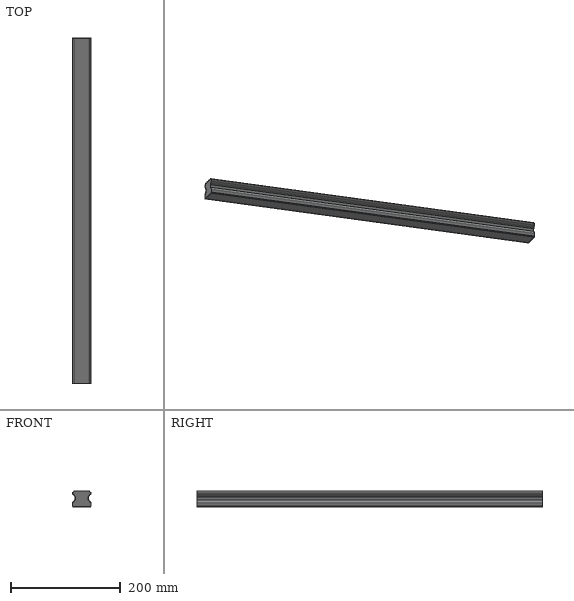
import cadquery as cq

rail_width = 34.0
rail_length = 630.0
rail_height = 29.0
half_width = rail_width / 2

top_half_width = 13.7
head_side_top = 25.6
head_side_bottom = 23.3
top_rim_radius = 0.9
head_rim_radius = 0.8

raceway_sag = 0.4
lower_raceway_half_width = 13.6
lower_raceway_bottom = 20.0

waist_half_width = 12.2
waist_top = 17.8
waist_bottom = 12.8

shoulder_bottom = 7.2
shoulder_radius = 1.5
bottom_chamfer = 1.5


def raceway_middle(start, end):
    """Middle point of a concave arc that runs upwards from start to end."""
    chord_x = end[0] - start[0]
    chord_z = end[1] - start[1]
    chord = (chord_x**2 + chord_z**2) ** 0.5
    return (
        (start[0] + end[0]) / 2 - raceway_sag * chord_z / chord,
        (start[1] + end[1]) / 2 + raceway_sag * chord_x / chord,
    )


def half_section():
    """Right half of the cross-section with sharp rims, closed along the centre plane."""
    lower_start = (lower_raceway_half_width, lower_raceway_bottom)
    lower_end = (half_width, head_side_bottom)
    upper_start = (half_width, head_side_top)
    upper_end = (top_half_width, rail_height)
    return (
        cq.Workplane("XZ")
        .moveTo(0, 0)
        .lineTo(half_width - bottom_chamfer, 0)
        .lineTo(half_width, bottom_chamfer)
        .lineTo(half_width, shoulder_bottom)
        .lineTo(waist_half_width, waist_bottom)
        .lineTo(waist_half_width, waist_top)
        .lineTo(*lower_start)
        .threePointArc(raceway_middle(lower_start, lower_end), lower_end)
        .lineTo(*upper_start)
        .threePointArc(raceway_middle(upper_start, upper_end), upper_end)
        .lineTo(0, rail_height)
        .close()
    )


def round_rim(body, x, z, radius):
    """Round the lengthwise edge that passes through (x, z)."""
    rim = cq.selectors.NearestToPointSelector((x, 0, z))
    return body.edges("|Y").edges(rim).fillet(radius)


def rail():
    """Half rail extruded along Y, centred on the length, rounded and mirrored to full width."""
    half_rail = half_section().extrude(rail_length / 2, both=True)
    half_rail = round_rim(half_rail, top_half_width, rail_height, top_rim_radius)
    half_rail = round_rim(half_rail, half_width, head_side_top, head_rim_radius)
    half_rail = round_rim(half_rail, half_width, head_side_bottom, head_rim_radius)
    half_rail = round_rim(half_rail, half_width, shoulder_bottom, shoulder_radius)
    return half_rail.union(half_rail.mirror("YZ")).clean()


result = rail()